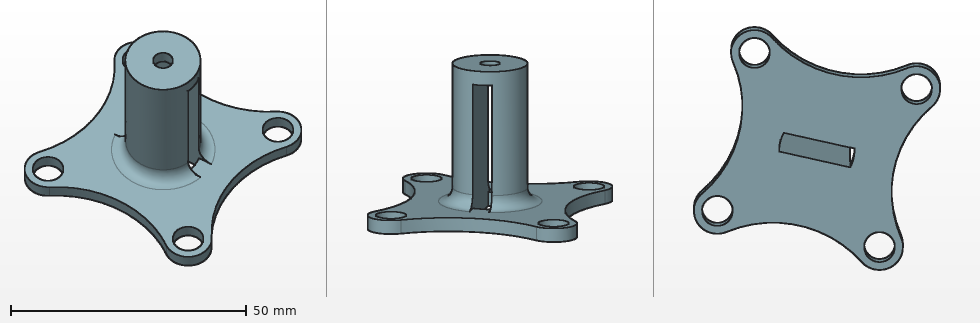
import cadquery as cq
import math

plate_thickness = 3.0
bolt_circle_radius = 25.0
bolt_hole_diameter = 6.5
lobe_radius = 5.0
side_arc_radius = 25.0
corner_count = 4

total_height = 33.0
post_diameter = 16.0
root_fillet = 3.0
bore_diameter = 4.2

slot_width = 4.2
cap_thickness = 3.0

lobe_offset = bolt_circle_radius / math.sqrt(2)
lobe_tip = (bolt_circle_radius + lobe_radius) / math.sqrt(2)
center_spacing = side_arc_radius + lobe_radius
side_center = lobe_offset + math.sqrt(center_spacing**2 - lobe_offset**2)
side_middle = side_center - side_arc_radius

tangent_x = lobe_offset * side_arc_radius / center_spacing
tangent_y = lobe_offset + (side_center - lobe_offset) * lobe_radius / center_spacing


def turned(point, quarter_turns):
    """Rotate a point about the origin by whole quarter turns."""
    x, y = point
    for _ in range(quarter_turns):
        x, y = -y, x
    return (x, y)


def make_plate():
    """Plate with four rounded lobes joined by concave tangent arcs."""
    outline = cq.Workplane("XY").moveTo(tangent_y, tangent_x)
    for corner in range(corner_count):
        lobe_end = turned((tangent_x, tangent_y), corner)
        next_lobe_start = turned((-tangent_x, tangent_y), corner)
        outline = outline.threePointArc(turned((lobe_tip, lobe_tip), corner), lobe_end)
        outline = outline.threePointArc(turned((0, side_middle), corner), next_lobe_start)
    return outline.close().extrude(plate_thickness)


def make_post():
    """Post standing on the plate, flared at its root by a concave fillet."""
    post_radius = post_diameter / 2
    flare_radius = post_radius + root_fillet
    fillet_top = plate_thickness + root_fillet
    fillet_reach = root_fillet * (1 - math.sqrt(0.5))
    return (
        cq.Workplane("XZ")
        .lineTo(flare_radius, 0)
        .lineTo(flare_radius, plate_thickness)
        .threePointArc(
            (post_radius + fillet_reach, plate_thickness + fillet_reach),
            (post_radius, fillet_top),
        )
        .lineTo(post_radius, total_height)
        .lineTo(0, total_height)
        .close()
        .revolve(360, (0, 0, 0), (0, 1, 0))
    )


def make_slot():
    """Cutter for the slot, from the plate surface up to the cap."""
    slot_length = post_diameter + 2 * root_fillet
    slot_height = total_height - cap_thickness - plate_thickness
    return (
        cq.Workplane("XY")
        .workplane(offset=plate_thickness)
        .rect(slot_length, slot_width)
        .extrude(slot_height)
    )


def make_plate_opening():
    """Cutter continuing the slot through the plate, within the post diameter."""
    strip = cq.Workplane("XY").rect(post_diameter, slot_width).extrude(plate_thickness)
    disc = cq.Workplane("XY").circle(post_diameter / 2).extrude(plate_thickness)
    return strip.intersect(disc)


def make_bore():
    """Cutter for the axial hole through the cap and the plate."""
    return cq.Workplane("XY").circle(bore_diameter / 2).extrude(total_height)


def make_bolt_holes():
    """Cutters for the through holes in the lobes."""
    return (
        cq.Workplane("XY")
        .rect(2 * lobe_offset, 2 * lobe_offset, forConstruction=True)
        .vertices()
        .circle(bolt_hole_diameter / 2)
        .extrude(plate_thickness)
    )


result = make_plate().union(make_post())
result = result.cut(make_slot()).cut(make_plate_opening())
result = result.cut(make_bore()).cut(make_bolt_holes())